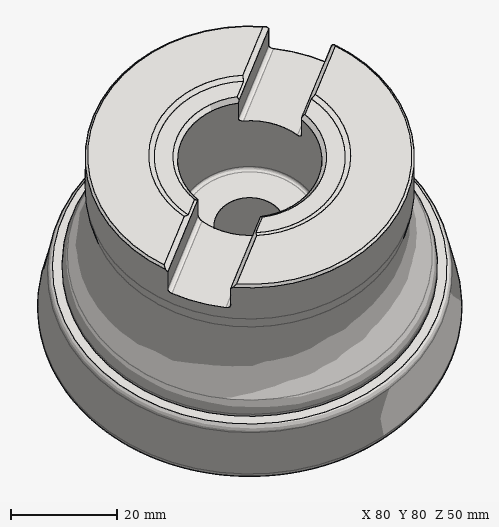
import cadquery as cq

total_height = 50.0
joint_height = 15.35

disc_corner_radius = 40.2
disc_corner_height = 2.1
disc_rim_fillet = 1.4
disc_bottom_radius = 29.6
disc_crown_radius = 38.1
disc_crown_height = 13.9
disc_top_radius = 37.15

neck_radius = 62.0 / 2
foot_radius = 70.7 / 2
top_chamfer = 0.5
neck_bottom_height = 39.9
waist_top = (30.45, 36.7)
neck_shoulder = (30.85, 38.3)
waist_middle = (29.9, 30.5)
waist_bottom = (34.4, 19.1)
foot_top_height = 16.0

through_diameter = 13.5
bore_diameter = 27.2
bore_depth = 22.0
bore_chamfer = 0.9
bore_floor_fillet = 0.7
recess_outer_radius = 19.0
recess_inner_radius = 18.0
recess_depth = 0.5

slot_width = 12.5
slot_depth = 7.0
slot_chamfer = 0.95
slot_fillet = 0.9


def revolve_profile(profile):
    """Turn a closed (radius, height) outline about the Z axis."""
    return profile.close().revolve(360, (0, 0, 0), (0, 1, 0))


def through_hole():
    return cq.Workplane("XY").circle(through_diameter / 2).extrude(total_height)


def make_disc():
    """Tapered disc with a rounded rim and crown and a shallow conical underside."""
    profile = (
        cq.Workplane("XZ")
        .lineTo(disc_bottom_radius, 0)
        .lineTo(disc_corner_radius, disc_corner_height)
        .lineTo(disc_crown_radius, disc_crown_height)
        .tangentArcPoint((disc_top_radius, joint_height), relative=False)
        .lineTo(0, joint_height)
    )
    widest_edge = cq.selectors.RadiusNthSelector(-1)
    disc = revolve_profile(profile).edges("%CIRCLE").edges(widest_edge).fillet(disc_rim_fillet)
    return disc.cut(through_hole())


def make_adapter_blank():
    """Waisted outer shape with a rounded foot and neck."""
    profile = (
        cq.Workplane("XZ")
        .moveTo(0, joint_height)
        .lineTo(foot_radius, joint_height)
        .lineTo(foot_radius, foot_top_height)
        .tangentArcPoint(waist_bottom, relative=False)
        .threePointArc(waist_middle, waist_top)
        .threePointArc(neck_shoulder, (neck_radius, neck_bottom_height))
        .lineTo(neck_radius, total_height - top_chamfer)
        .lineTo(neck_radius - top_chamfer, total_height)
        .lineTo(0, total_height)
    )
    return revolve_profile(profile)


def seat_recess():
    """Shallow conical-walled recess around the bore, with the bore's mouth chamfer."""
    floor_height = total_height - recess_depth
    bore_radius = bore_diameter / 2
    profile = (
        cq.Workplane("XZ")
        .moveTo(0, total_height)
        .lineTo(recess_outer_radius, total_height)
        .lineTo(recess_inner_radius, floor_height)
        .lineTo(bore_radius + bore_chamfer, floor_height)
        .lineTo(bore_radius, floor_height - bore_chamfer)
        .lineTo(0, floor_height - bore_chamfer)
    )
    return revolve_profile(profile)


def arbor_bore():
    """Blind bore with a rounded floor corner."""
    return (
        cq.Workplane("XY", origin=(0, 0, total_height - bore_depth))
        .circle(bore_diameter / 2)
        .extrude(bore_depth)
        .faces("<Z").edges().fillet(bore_floor_fillet)
    )


def drive_slot():
    """Slot with rounded floor corners and chamfered upper edges."""
    slot_length = 2 * neck_radius
    half_width = slot_width / 2
    slot = (
        cq.Workplane("XY", origin=(0, 0, total_height - slot_depth))
        .rect(slot_width, slot_length)
        .extrude(slot_depth)
        .edges("|Y and <Z").fillet(slot_fillet)
    )
    edge_chamfers = (
        cq.Workplane("XZ", origin=(0, neck_radius, 0))
        .moveTo(-half_width - slot_chamfer, total_height)
        .lineTo(half_width + slot_chamfer, total_height)
        .lineTo(half_width, total_height - slot_chamfer)
        .lineTo(-half_width, total_height - slot_chamfer)
        .close()
        .extrude(slot_length)
    )
    return slot.union(edge_chamfers)


def make_adapter():
    """Adapter body that stands on the disc and carries the arbor seat."""
    adapter = make_adapter_blank()
    for cutter in (through_hole(), arbor_bore(), seat_recess(), drive_slot()):
        adapter = adapter.cut(cutter)
    return adapter


disc = make_disc()
adapter = make_adapter()

result = cq.Compound.makeCompound([disc.val(), adapter.val()])